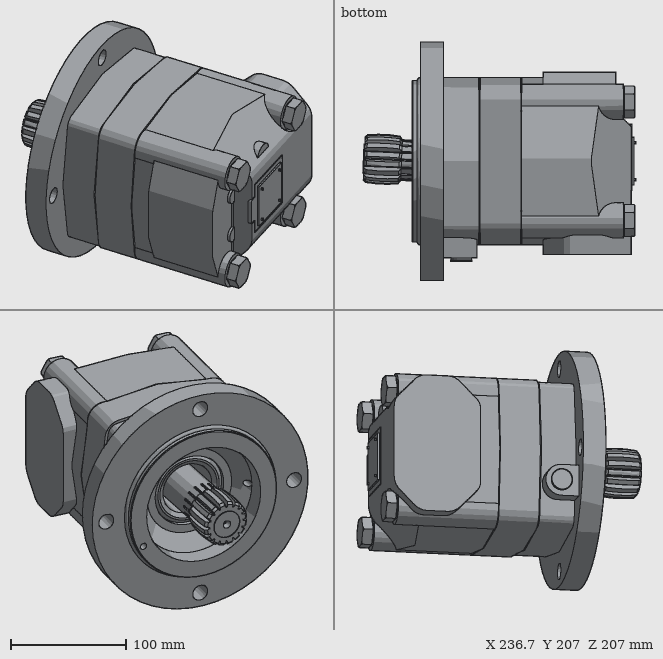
import cadquery as cq
import math


PILOT_FACE = -7.0
RIM_FACE = -2.8
FLANGE_BACK = 20.0
FRONT_BLOCK_END = 50.6
GEAR_BLOCK_START = 51.8
GEAR_BLOCK_END = 87.0
COVER_START = 87.8
PORT_FACE_START = 106.5
PAD_END = 169.5
BOSS_END = 176.0
COVER_END = 183.0

FLANGE_DIAMETER = 207.0
BOLT_CIRCLE = 180.0
FLANGE_HOLE_DIAMETER = 14.2
FLANGE_HOLE_COUNT = 4
PILOT_RADIUS = 70.3
PILOT_CHAMFER = 0.7
RIM_RADIUS = 72.6
RIM_FILLET = 2.5

RIDGE = 72.6
GEAR_CORNER_RADIUS = 15.4
CORNER_OFFSET = 51.3
FRONT_CORNER_RADIUS = 9.7
FRONT_CORNER_OFFSET = 54.7
FRONT_NECK_RADIUS = 62.2
REAR_NECK_RADIUS = 56.8

CAVITY_MOUTH_RADIUS = 54.7
CAVITY_WALL_RADIUS = 54.0
CAVITY_WALL_DEPTH = 16.3
CAVITY_FLOOR_DEPTH = 28.9
CAVITY_FLOOR_RADIUS = 40.5
LIP_RECESS_DEPTH = 4.3
LIP_BASE_RADIUS = 33.0
LIP_OUTER_RADIUS = 29.3
LIP_INNER_RADIUS = 27.5
LIP_HEIGHT = 2.4
BORE_RADIUS = 23.5
BORE_TAPER = 2.4
BORE_END = 75.7

SMALL_HOLE_DIAMETER = 6.0
FACE_HOLE_Y = 57.7
FACE_HOLE_Z = -28.2
FACE_HOLE_DEPTH = 11.8
CAVITY_HOLE_Y = -51.0
CAVITY_HOLE_END = 23.7

DRAIN_X = 35.5
DRAIN_Z = FACE_HOLE_Z
DRAIN_BOSS_RADIUS = 13.7
DRAIN_BOSS_TOP = 83.8
PLUG_DIAMETER = 18.5
PLUG_TOP = 87.0
PLUG_RIM_HEIGHT = 1.5
PLUG_RIM_LIP = 0.2
PLUG_NOTCH_COUNT = 40
PLUG_NOTCH_SIZE = 0.7

RIDGE_HALF_FLAT = 2.0
BOSS_RADIUS = 15.4
FLANK_END = 47.8
FLANK_EDGE = 66.2
SLOPE_START = 148.0
SLOPE_FILLET = 16.0
PORT_BLOCK_TOP = 81.0
PORT_BLOCK_HALF_HEIGHT = 60.3
PORT_BLOCK_SLOPE_TOP = 129.2
PORT_BLOCK_FRONT_FILLET = 11.8
PAD_FACE = 77.1
PAD_HALF_FLAT = 23.0
PAD_HALF_HEIGHT = 51.5
PAD_EDGE = 66.7
PAD_FILLET = 14.0
REAR_CHAMFER_Y = 29.8
REAR_CHAMFER_START = 171.0
PASSAGE_DIAMETER = 13.7
PASSAGE_Y = -42.5
PASSAGE_Z = 20.3
PASSAGE_END = 171.8
NUB_RADIUS = 10.6
NUB_Z = 39.5
NUB_END = 178.2

SEAT_HALF_SIZE = 25.3
SEAT_FACE = 183.5
TAB_HALF_WIDTH = 12.5
TAB_END = 32.2
TAB_START = 180.3
TAB_FILLET = 2.0
PLATE_HALF_SIZE = 20.8
PLATE_FACE = 185.2
RIVET_OFFSET = 16.0
RIVET_DIAMETER = 2.1
RIVET_END = 186.7

BOLT_DIAMETER = 16.0
BOLT_TIP = 56.8
HEAD_ACROSS_FLATS = 24.1
HEAD_ACROSS_CORNERS = HEAD_ACROSS_FLATS / math.cos(math.radians(30))
HEAD_END = 186.0
HEAD_CHAMFER = 1.0
WASHER_FACE_DIAMETER = 22.7
WASHER_FACE_HEIGHT = 0.7

SHAFT_TILT = 2.5
SHAFT_TIP_X = -49.5
SHAFT_TIP_Y = -2.4
SHAFT_LENGTH = 120.7
SHANK_RADIUS = 17.7
TIP_DISC_RADIUS = 12.5
TIP_DISC_HEIGHT = 0.7
SPLINE_LENGTH = 32.5
SPLINE_END_RADIUS = 20.8
SPLINE_CROWN_RADIUS = 21.8
SPLINE_CHAMFER = 2.1
TOOTH_COUNT = 16
GROOVE_ROOT_RADIUS = 16.5
GROOVE_ROOT_WIDTH = 1.0
GROOVE_TOP_WIDTH = 4.3
GROOVE_LENGTH = 47.3
CENTRE_CONE_DIAMETER = 7.0
CENTRE_CONE_ANGLE = 60.0
CENTRE_PILOT_DIAMETER = 2.4
CENTRE_HOLE_DEPTH = 7.0

CORNERS = [(y, z) for y in (CORNER_OFFSET, -CORNER_OFFSET) for z in (CORNER_OFFSET, -CORNER_OFFSET)]


def section(x):
    """Workplane across the motor axis at the given X; its local axes are Y and Z."""
    return cq.Workplane("YZ", origin=(x, 0, 0))


def cylinder(radius, start, end, y=0.0, z=0.0):
    return section(start).center(y, z).circle(radius).extrude(end - start)


def pointed_block(corner_offset, corner_radius, start, end):
    """Square block with a ridge along the middle of each side and flanks tangent to round corners."""
    ridge_distance = math.hypot(RIDGE - corner_offset, corner_offset)
    ridge_direction = math.atan2(corner_offset, RIDGE - corner_offset)
    lean = math.acos(corner_radius / ridge_distance) - ridge_direction
    near = corner_offset + corner_radius * math.sin(lean)
    far = corner_offset + corner_radius * math.cos(lean)
    middle = corner_offset + corner_radius * math.sqrt(0.5)

    ridge, arc_start, arc_middle, arc_end = (RIDGE, 0), (far, near), (middle, middle), (near, far)
    outline = section(start).moveTo(*ridge)
    for _ in range(4):
        outline = outline.lineTo(*arc_start).threePointArc(arc_middle, arc_end)
        ridge, arc_start, arc_middle, arc_end = [
            (-z, y) for y, z in (ridge, arc_start, arc_middle, arc_end)
        ]
        outline = outline.lineTo(*ridge)
    return outline.close().extrude(end - start)


def flange():
    disc = cylinder(FLANGE_DIAMETER / 2, 0, FLANGE_BACK)
    rim = cylinder(RIM_RADIUS, RIM_FACE, 0).faces("<X").edges().fillet(RIM_FILLET)
    pilot = cylinder(PILOT_RADIUS, PILOT_FACE, 0).faces("<X").edges().chamfer(PILOT_CHAMFER)
    holes = (
        section(0)
        .polarArray(BOLT_CIRCLE / 2, 0, 360, FLANGE_HOLE_COUNT)
        .circle(FLANGE_HOLE_DIAMETER / 2)
        .extrude(FLANGE_BACK)
    )
    return disc.union(rim).union(pilot).cut(holes)


def shaft_cavity():
    """Turned cavity with a conical floor, a recessed seal lip and the blind shaft bore."""
    floor = PILOT_FACE + CAVITY_FLOOR_DEPTH
    recess = floor + LIP_RECESS_DEPTH
    lip_face = recess - LIP_HEIGHT
    profile = [
        (PILOT_FACE, 0),
        (PILOT_FACE, CAVITY_MOUTH_RADIUS),
        (PILOT_FACE + CAVITY_WALL_DEPTH, CAVITY_WALL_RADIUS),
        (floor, CAVITY_FLOOR_RADIUS),
        (floor, LIP_BASE_RADIUS),
        (recess, LIP_BASE_RADIUS),
        (lip_face, LIP_OUTER_RADIUS),
        (lip_face, LIP_INNER_RADIUS),
        (lip_face + BORE_TAPER, BORE_RADIUS),
        (BORE_END, BORE_RADIUS),
        (BORE_END, 0),
    ]
    return cq.Workplane("XY").polyline(profile).close().revolve(360, (0, 0, 0), (1, 0, 0))


def drain_port():
    """Boss on the +Y side, rounded at the rear, with its plug."""
    rounded = (
        cq.Workplane("XZ").center(DRAIN_X, DRAIN_Z).circle(DRAIN_BOSS_RADIUS).extrude(-DRAIN_BOSS_TOP)
    )
    straight = cq.Workplane("XY").box(
        DRAIN_X - FLANGE_BACK, DRAIN_BOSS_TOP, 2 * DRAIN_BOSS_RADIUS, centered=(False, False, True)
    ).translate((FLANGE_BACK, 0, DRAIN_Z))
    plug = (
        cq.Workplane("XZ").center(DRAIN_X, DRAIN_Z).circle(PLUG_DIAMETER / 2 - PLUG_RIM_LIP).extrude(-PLUG_TOP)
    )
    rim_bottom = PLUG_TOP - PLUG_RIM_HEIGHT
    rim = (
        cq.Workplane("XZ", origin=(DRAIN_X, rim_bottom, DRAIN_Z))
        .circle(PLUG_DIAMETER / 2)
        .extrude(-PLUG_RIM_HEIGHT)
    )
    notches = (
        cq.Workplane("XZ", origin=(DRAIN_X, rim_bottom, DRAIN_Z))
        .polarArray(PLUG_DIAMETER / 2, 0, 360, PLUG_NOTCH_COUNT)
        .rect(PLUG_NOTCH_SIZE, PLUG_NOTCH_SIZE)
        .extrude(-PLUG_RIM_HEIGHT)
    )
    return rounded.union(straight).union(plug).union(rim.cut(notches))


def make_motor_body():
    """Flange, front block and gear block in one piece, with a groove between the blocks."""
    body = flange()
    body = body.union(pointed_block(FRONT_CORNER_OFFSET, FRONT_CORNER_RADIUS, 0, FRONT_BLOCK_END))
    body = body.union(cylinder(FRONT_NECK_RADIUS, FRONT_BLOCK_END, GEAR_BLOCK_START))
    body = body.union(
        pointed_block(CORNER_OFFSET, GEAR_CORNER_RADIUS, GEAR_BLOCK_START, GEAR_BLOCK_END)
    )
    body = body.union(cylinder(REAR_NECK_RADIUS, GEAR_BLOCK_END, COVER_START))
    body = body.union(drain_port()).cut(shaft_cavity())
    hole_radius = SMALL_HOLE_DIAMETER / 2
    body = body.cut(
        cylinder(hole_radius, PILOT_FACE, PILOT_FACE + FACE_HOLE_DEPTH, FACE_HOLE_Y, FACE_HOLE_Z)
    )
    body = body.cut(cylinder(hole_radius, PILOT_FACE, CAVITY_HOLE_END, CAVITY_HOLE_Y))
    return body.cut(bolt_holes())


def bolt_holes():
    return (
        section(BOLT_TIP)
        .pushPoints(CORNERS)
        .circle(BOLT_DIAMETER / 2)
        .extrude(BOSS_END - BOLT_TIP)
    )


def rear_slope_height(x):
    """Height of the 45 degree rear slope at the given X."""
    return RIDGE - (x - SLOPE_START)


def cover_core():
    """Middle of the cover: ridged flanks, sloped above and below towards the end face."""
    quarter = [
        (RIDGE, -RIDGE_HALF_FLAT), (RIDGE, RIDGE_HALF_FLAT),
        (FLANK_EDGE, FLANK_END), (FLANK_END, FLANK_EDGE),
    ]
    outline = []
    for _ in range(4):
        outline += quarter
        quarter = [(-z, y) for y, z in quarter]
    flanks = section(COVER_START).polyline(outline).close().extrude(COVER_END - COVER_START)
    end_height = rear_slope_height(COVER_END)
    side_profile = [
        (COVER_START, -RIDGE), (SLOPE_START, -RIDGE), (COVER_END, -end_height),
        (COVER_END, end_height), (SLOPE_START, RIDGE), (COVER_START, RIDGE),
    ]
    slopes = (
        cq.Workplane("XZ")
        .polyline(side_profile)
        .close()
        .extrude(PORT_BLOCK_TOP, both=True)
        .faces(">X")
        .edges("|Y")
        .fillet(SLOPE_FILLET)
    )
    return flanks.intersect(slopes)


def port_block():
    """Connection block on the +Y side, with 45 degree rounded corners."""
    top = PORT_BLOCK_HALF_HEIGHT
    rear_top = SLOPE_START + RIDGE - top
    rear_height = rear_slope_height(COVER_END)
    front_height = top - (PORT_BLOCK_SLOPE_TOP - PORT_FACE_START)
    upper = [
        (PORT_FACE_START, front_height), (PORT_BLOCK_SLOPE_TOP, top),
        (rear_top, top), (COVER_END, rear_height),
    ]
    lower = [(x, -z) for x, z in reversed(upper)]
    block = cq.Workplane("XZ").polyline(upper + lower).close().extrude(-PORT_BLOCK_TOP)
    block = block.faces("<X").edges("|Y").fillet(PORT_BLOCK_FRONT_FILLET)
    return block.faces(">Z or <Z or >X").edges("|Y").fillet(SLOPE_FILLET)


def port_pad():
    """Raised pad on the -Y side with a flat middle and two leaning faces."""
    outline = [
        (-CORNER_OFFSET, -PAD_HALF_HEIGHT), (-PAD_EDGE, -PAD_HALF_HEIGHT), (-PAD_FACE, -PAD_HALF_FLAT),
        (-PAD_FACE, PAD_HALF_FLAT), (-PAD_EDGE, PAD_HALF_HEIGHT), (-CORNER_OFFSET, PAD_HALF_HEIGHT),
    ]
    pad = section(PORT_FACE_START).polyline(outline).close().extrude(PAD_END - PORT_FACE_START)
    return pad.faces("<Y").edges("|X").fillet(PAD_FILLET)


def pad_side_relief():
    """Space behind the pad: a step and then a 45 degree chamfer to the end face."""
    step = REAR_CHAMFER_Y + COVER_END - REAR_CHAMFER_START
    profile = [
        (PAD_END, -PAD_FACE), (PAD_END, -step), (REAR_CHAMFER_START, -step),
        (COVER_END, -REAR_CHAMFER_Y), (COVER_END, -PAD_FACE),
    ]
    return cq.Workplane("XY").polyline(profile).close().extrude(RIDGE, both=True)


def name_plate_seat():
    """Square seat with a tab, carrying the square plate and its four rivets."""
    def square(half_size, start, end):
        return section(start).rect(2 * half_size, 2 * half_size).extrude(end - start)

    seat = square(SEAT_HALF_SIZE, COVER_END, SEAT_FACE)
    tab = (
        section(TAB_START)
        .center(-TAB_END / 2, 0)
        .rect(TAB_END, 2 * TAB_HALF_WIDTH)
        .extrude(SEAT_FACE - TAB_START)
        .faces("<Y")
        .edges("|X")
        .fillet(TAB_FILLET)
    )
    plate = square(PLATE_HALF_SIZE, SEAT_FACE, PLATE_FACE)
    rivets = (
        section(PLATE_FACE)
        .rect(2 * RIVET_OFFSET, 2 * RIVET_OFFSET, forConstruction=True)
        .vertices()
        .circle(RIVET_DIAMETER / 2)
        .extrude(RIVET_END - PLATE_FACE)
    )
    return seat.union(tab).union(plate).union(rivets)


def make_end_cover():
    cover = cover_core().union(port_block()).union(port_pad()).cut(pad_side_relief())
    for z in (PASSAGE_Z, -PASSAGE_Z):
        cover = cover.union(
            cylinder(PASSAGE_DIAMETER / 2, PORT_FACE_START, PASSAGE_END, PASSAGE_Y, z)
        )
    cover = cover.union(cylinder(NUB_RADIUS, SLOPE_START, NUB_END, 0, NUB_Z))
    for y, z in CORNERS:
        cover = cover.union(cylinder(BOSS_RADIUS, COVER_START, BOSS_END, y, z))
        cover = cover.cut(cylinder(BOSS_RADIUS, BOSS_END, COVER_END, y, z))
    return cover.union(name_plate_seat()).cut(bolt_holes())


def make_bolt(y, z):
    head_start = BOSS_END + WASHER_FACE_HEIGHT
    head = (
        section(head_start)
        .center(y, z)
        .polygon(6, HEAD_ACROSS_CORNERS)
        .extrude(HEAD_END - head_start)
    )
    crown = cylinder(HEAD_ACROSS_CORNERS / 2, head_start, HEAD_END, y, z)
    crown = crown.faces(">X").edges().chamfer(HEAD_CHAMFER)
    washer_face = cylinder(WASHER_FACE_DIAMETER / 2, BOSS_END, head_start, y, z)
    shank = cylinder(BOLT_DIAMETER / 2, BOLT_TIP, BOSS_END, y, z)
    return head.intersect(crown).union(washer_face).union(shank)


def centre_hole():
    """Conical centre hole with a small pilot, for a shaft tip at the origin."""
    cone_radius = CENTRE_CONE_DIAMETER / 2
    pilot_radius = CENTRE_PILOT_DIAMETER / 2
    cone_depth = (cone_radius - pilot_radius) / math.tan(math.radians(CENTRE_CONE_ANGLE / 2))
    profile = [
        (0, 0), (0, cone_radius), (cone_depth, pilot_radius),
        (CENTRE_HOLE_DEPTH, pilot_radius), (CENTRE_HOLE_DEPTH, 0),
    ]
    return cq.Workplane("XY").polyline(profile).close().revolve(360, (0, 0, 0), (1, 0, 0))


def make_shaft():
    """Shaft with a crowned spline, built along X from its tip and then tilted into place."""
    start = TIP_DISC_HEIGHT
    spline_end = start + SPLINE_LENGTH
    blank = (
        cq.Workplane("XY")
        .moveTo(0, 0)
        .lineTo(0, TIP_DISC_RADIUS)
        .lineTo(start, TIP_DISC_RADIUS)
        .lineTo(start, SPLINE_END_RADIUS - SPLINE_CHAMFER)
        .lineTo(start + SPLINE_CHAMFER, SPLINE_END_RADIUS)
        .threePointArc(
            (start + SPLINE_LENGTH / 2, SPLINE_CROWN_RADIUS),
            (spline_end - SPLINE_CHAMFER, SPLINE_END_RADIUS),
        )
        .lineTo(spline_end, SHANK_RADIUS)
        .lineTo(SHAFT_LENGTH, SHANK_RADIUS)
        .lineTo(SHAFT_LENGTH, 0)
        .close()
        .revolve(360, (0, 0, 0), (1, 0, 0))
    )
    groove = (
        section(0)
        .polyline([
            (GROOVE_ROOT_RADIUS, -GROOVE_ROOT_WIDTH / 2),
            (SPLINE_CROWN_RADIUS, -GROOVE_TOP_WIDTH / 2),
            (SPLINE_CROWN_RADIUS, GROOVE_TOP_WIDTH / 2),
            (GROOVE_ROOT_RADIUS, GROOVE_ROOT_WIDTH / 2),
        ])
        .close()
        .extrude(GROOVE_LENGTH)
    )
    for tooth in range(TOOTH_COUNT):
        blank = blank.cut(groove.rotate((0, 0, 0), (1, 0, 0), tooth * 360 / TOOTH_COUNT))
    shaft_along_x = blank.cut(centre_hole())
    return shaft_along_x.rotate((0, 0, 0), (0, 0, 1), SHAFT_TILT).translate((SHAFT_TIP_X, SHAFT_TIP_Y, 0))


motor_body = make_motor_body()
end_cover = make_end_cover()
bolts = [make_bolt(y, z) for y, z in CORNERS]
shaft = make_shaft()

result = cq.Compound.makeCompound(
    [motor_body.val(), end_cover.val(), shaft.val(), *[bolt.val() for bolt in bolts]]
)